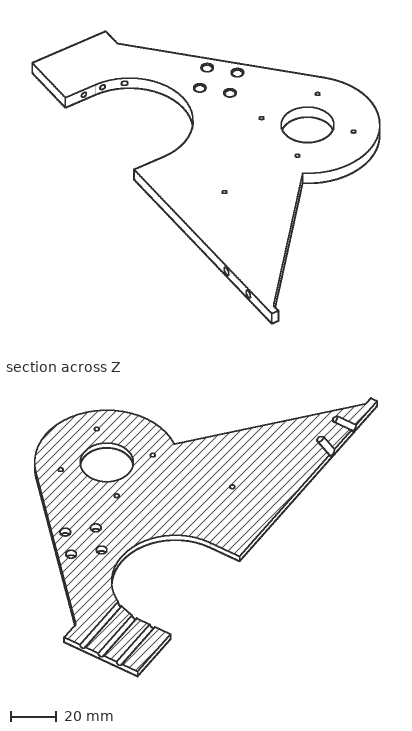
import cadquery as cq
import math

length = 193.8
height = 111.0
thickness = 6.0
mid_z = thickness / 2

head_radius = 31.5
head_x = 98.8
head_y = height - head_radius
bore_diameter = 23.0
small_hole_diameter = 2.0
head_hole_spacing = 29.0

foot_height = 38.2
foot_top_width = 9.5
tip_height = 3.5
tip_width = 4.0
brace_angle = 41.1

arch_radius = 27.7
arch_x = 54.7
arch_center_y = 15.5

group_x = 53.5
group_y = 62.5
group_spacing = 13.5
group_hole_diameter = 4.5
group_hole_chamfer = 0.48

web_hole_x = 116.0
web_hole_y = 25.4

foot_hole_diameter = 2.5
foot_hole_spacing = 9.5
foot_hole_length = arch_x
bottom_hole_diameter = 3.5
bottom_hole_depth = 9.7
drill_point_angle = 118.0
straight_hole_x = 174.8
slanted_hole_x = 157.2
slanted_hole_tilt = 25.0

dx = head_x - foot_top_width
dy = head_y - foot_height
left_slope = math.degrees(math.atan2(dy, dx) + math.asin(head_radius / math.hypot(dx, dy)))


def head_point(angle):
    """Point on the head's rim at an angle in degrees from +X."""
    a = math.radians(angle)
    return (head_x + head_radius * math.cos(a), head_y + head_radius * math.sin(a))


def brace_meeting_angle():
    """Angle on the head's rim where the right edge first meets it."""
    slope = math.radians(brace_angle)
    to_head_x = head_x - (length - tip_width)
    to_head_y = head_y - tip_height
    distance = to_head_x * math.sin(slope) + to_head_y * math.cos(slope)
    return 90 - brace_angle - math.degrees(math.acos(-distance / head_radius))


def make_plate():
    meeting_angle = brace_meeting_angle()
    tangent_angle = left_slope + 90
    return (
        cq.Workplane("XY")
        .moveTo(0, 0)
        .lineTo(arch_x - arch_radius, 0)
        .lineTo(arch_x - arch_radius, arch_center_y)
        .threePointArc((arch_x, arch_center_y + arch_radius), (arch_x + arch_radius, arch_center_y))
        .lineTo(arch_x + arch_radius, 0)
        .lineTo(length, 0)
        .lineTo(length, tip_height)
        .lineTo(length - tip_width, tip_height)
        .lineTo(*head_point(meeting_angle))
        .threePointArc(head_point((meeting_angle + tangent_angle) / 2), head_point(tangent_angle))
        .lineTo(foot_top_width, foot_height)
        .lineTo(0, foot_height)
        .close()
        .extrude(thickness)
    )


def through_holes(points, diameter):
    return cq.Workplane("XY").pushPoints(points).circle(diameter / 2).extrude(thickness)


def square_pattern(center_x, center_y, spacing, rotation=0):
    """Corners of a square turned by a rotation in degrees."""
    radius = spacing / math.sqrt(2)
    angles = [math.radians(rotation + 45 + 90 * i) for i in range(4)]
    return [(center_x + radius * math.cos(a), center_y + radius * math.sin(a)) for a in angles]


def make_foot_holes():
    """Row of holes along X from the left face into the arch."""
    ys = [foot_height / 2 + i * foot_hole_spacing for i in (-1, 0, 1)]
    return (
        cq.Workplane("YZ")
        .pushPoints([(y, mid_z) for y in ys])
        .circle(foot_hole_diameter / 2)
        .extrude(foot_hole_length)
    )


def make_group_holes():
    """Through holes in the tilted square, chamfered at the top face."""
    points = square_pattern(group_x, group_y, group_spacing, left_slope)
    rim_radius = group_hole_diameter / 2 + group_hole_chamfer
    chamfers = (
        cq.Workplane("XY", origin=(0, 0, thickness))
        .pushPoints(points)
        .circle(rim_radius)
        .extrude(-group_hole_chamfer, taper=45)
    )
    return through_holes(points, group_hole_diameter).union(chamfers)


def make_bottom_hole(x, tilt=0):
    """Blind hole up from the bottom edge with a drill point, tilted in degrees from Y toward +X."""
    radius = bottom_hole_diameter / 2
    point_length = radius / math.tan(math.radians(drill_point_angle / 2))
    return (
        cq.Workplane("XY")
        .moveTo(0, -radius)
        .lineTo(radius, -radius)
        .lineTo(radius, bottom_hole_depth)
        .lineTo(0, bottom_hole_depth + point_length)
        .close()
        .revolve(360, (0, 0, 0), (0, 1, 0))
        .rotate((0, 0, 0), (0, 0, 1), -tilt)
        .translate((x, 0, mid_z))
    )


small_hole_points = square_pattern(head_x, head_y, head_hole_spacing) + [(web_hole_x, web_hole_y)]

result = (
    make_plate()
    .cut(through_holes([(head_x, head_y)], bore_diameter))
    .cut(through_holes(small_hole_points, small_hole_diameter))
    .cut(make_group_holes())
    .cut(make_foot_holes())
    .cut(make_bottom_hole(straight_hole_x))
    .cut(make_bottom_hole(slanted_hole_x, slanted_hole_tilt))
)